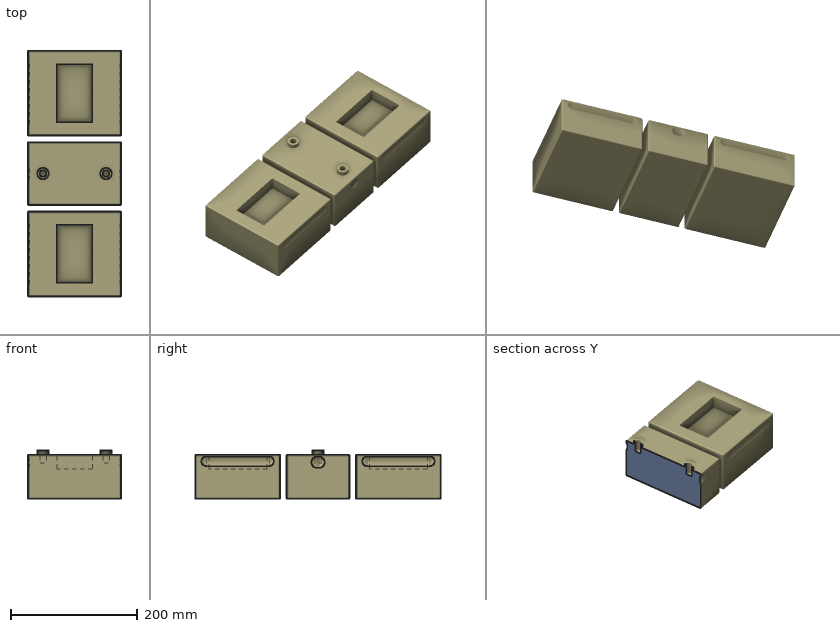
import cadquery as cq
import math

block_width = 148.0
block_height = 70.0
edge_radius = 2.0
block_gap = 10.0

end_block_length = 135.0
pocket_width = 56.0
pocket_length = 92.0
pocket_depth = 22.0

middle_block_length = 100.0
boss_spacing = 100.0
boss_diameter = 18.0
boss_height = 7.0
boss_hole_diameter = 10.5
boss_hole_depth = 20.0

grip_ball_radius = 16.0
end_grip_travel = 100.0
end_grip_height = 15.0
end_grip_drop = 10.5
middle_grip_travel = 3.0
middle_grip_height = 18.0
middle_grip_drop = 12.0


def rounded_block(length):
    """Plain block standing on Z = 0, with every edge rounded."""
    block = cq.Workplane("XY").box(block_width, length, block_height, centered=(True, True, False))
    return block.edges().fillet(edge_radius)


def grip_cutter(travel, height, drop):
    """Capsule along Y that opens a mouth of the given height in the -X face, drop below the top face."""
    standoff = math.sqrt(grip_ball_radius**2 - (height / 2) ** 2)
    centre_x = -block_width / 2 - standoff
    centre_z = block_height - drop
    cutter = (
        cq.Workplane("XZ", origin=(centre_x, travel / 2, centre_z))
        .circle(grip_ball_radius)
        .extrude(travel)
    )
    for end_y in (-travel / 2, travel / 2):
        ball = cq.Workplane("XY").sphere(grip_ball_radius).translate((centre_x, end_y, centre_z))
        cutter = cutter.union(ball)
    return cutter


def cut_grips(block, travel, height, drop):
    """Cut matching grips into the -X and +X faces."""
    cutter = grip_cutter(travel, height, drop)
    return block.cut(cutter).cut(cutter.mirror("YZ"))


def end_block(centre_y):
    """Block with an open rectangular pocket and long grips."""
    pocket = (
        cq.Workplane("XY", origin=(0, 0, block_height - pocket_depth))
        .rect(pocket_width, pocket_length)
        .extrude(pocket_depth)
    )
    block = rounded_block(end_block_length).cut(pocket)
    block = cut_grips(block, end_grip_travel, end_grip_height, end_grip_drop)
    return block.translate((0, centre_y, 0))


def middle_block():
    """Block with two hollow bosses and short grips."""
    boss_centres = [(-boss_spacing / 2, 0), (boss_spacing / 2, 0)]
    boss_top = block_height + boss_height
    bosses = (
        cq.Workplane("XY", origin=(0, 0, block_height))
        .pushPoints(boss_centres)
        .circle(boss_diameter / 2)
        .extrude(boss_height)
    )
    holes = (
        cq.Workplane("XY", origin=(0, 0, boss_top))
        .pushPoints(boss_centres)
        .circle(boss_hole_diameter / 2)
        .extrude(-boss_hole_depth)
    )
    block = rounded_block(middle_block_length).union(bosses).cut(holes)
    return cut_grips(block, middle_grip_travel, middle_grip_height, middle_grip_drop)


end_offset = (middle_block_length + end_block_length) / 2 + block_gap
end_blocks = [end_block(side * end_offset) for side in (-1, 1)]
middle = middle_block()

result = cq.Compound.makeCompound([middle.val(), *[block.val() for block in end_blocks]])